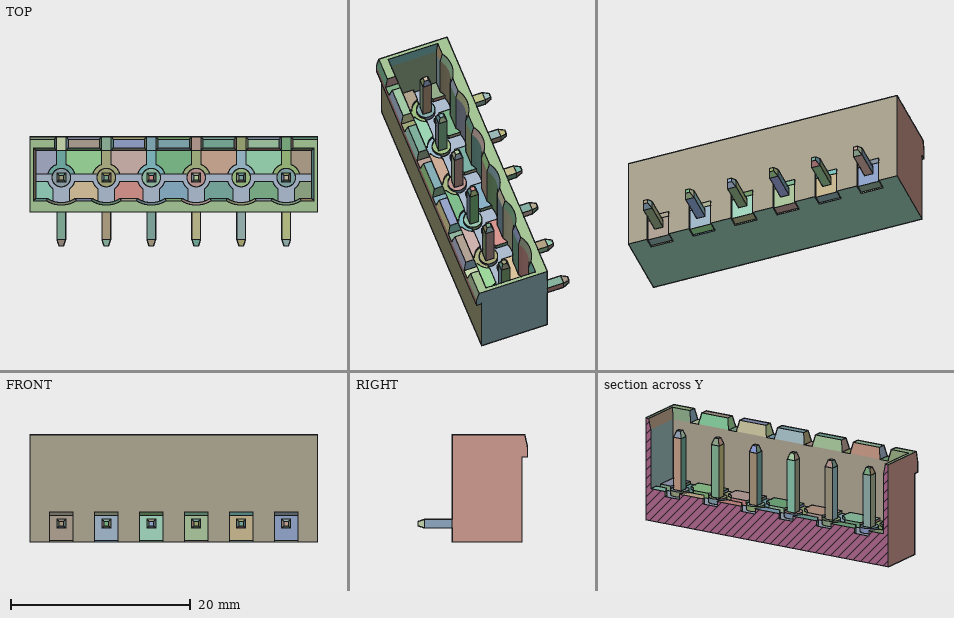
import cadquery as cq
import math


length = 32.0
depth = 7.8
height = 11.94

pole_count = 6
pitch = 5.0
pin_x = [(i - (pole_count - 1) / 2) * pitch for i in range(pole_count)]
pin_y = 3.84
pin_width = 1.0
pin_end_width = 0.5
pin_taper = 0.75
pin_top_z = 10.65
tail_z = 2.05
tail_reach = 3.79

lead_in_depth = 1.3
lead_in_width = 0.28
cavity_end_wall = 0.69
cavity_half_length = length / 2 - cavity_end_wall
cavity_front_y = 1.54
cavity_back_y = 6.87
floor_z = 3.8
scallop_radius = 2.78

rail_reach = 0.6
rail_bottom_z = height - 2.5
rail_slope = 0.3
notch_floor_width = 1.03
notch_top_width = 1.55

ring_outer_radius = 1.55
ring_inner_radius = 1.03
back_recess_depth = 0.3
front_recess_depth = 0.6
back_slot_width = notch_floor_width
front_slot_width = 1.84
cross_channel_front_y = 3.38
cross_channel_back_y = 4.25

pocket_width = 2.6
pocket_height = 3.32
pocket_depth = 0.35
relief_height = 0.2
relief_depth = 1.35


def box(x0, x1, y0, y1, z0, z1):
    """Box between two opposite corners."""
    return cq.Workplane("XY").box(x1 - x0, y1 - y0, z1 - z0, centered=False).translate((x0, y0, z0))


def profile_along_x(points, x0, x1):
    """Prism with a (y, z) outline, running from x0 to x1."""
    return cq.Workplane("YZ", origin=(x0, 0, 0)).polyline(points).close().extrude(x1 - x0)


def cylinder(x, radius, z0, z1):
    """Upright cylinder on the axis of the pin at x."""
    return cq.Workplane("XY", origin=(x, pin_y, z0)).circle(radius).extrude(z1 - z0)


def make_shell():
    """Solid block with the latching rail along its back edge."""
    rail_y = depth + rail_reach
    outline = [
        (0, 0),
        (0, height),
        (rail_y - rail_slope, height),
        (rail_y, height - lead_in_depth),
        (rail_y, rail_bottom_z),
        (depth, rail_bottom_z),
        (depth, 0),
    ]
    return profile_along_x(outline, -length / 2, length / 2)


def make_cavity():
    """Plug cavity: straight walls, a scallop in front of every pin, and a sloped lead-in all round."""
    slope_z = height - lead_in_depth
    taper = math.degrees(math.atan2(lead_in_width, lead_in_depth))
    cavity = box(-cavity_half_length, cavity_half_length, cavity_front_y, cavity_back_y, floor_z, height)
    cavity_width = cavity_back_y - cavity_front_y
    lead_in = (
        cq.Workplane("XY", origin=(0, (cavity_front_y + cavity_back_y) / 2, slope_z))
        .rect(2 * cavity_half_length, cavity_width)
        .workplane(offset=lead_in_depth)
        .rect(2 * (cavity_half_length + lead_in_width), cavity_width + 2 * lead_in_width)
        .loft(ruled=True)
    )
    cavity = cavity.union(lead_in)
    for x in pin_x:
        cavity = cavity.union(cylinder(x, scallop_radius, floor_z, slope_z))
        cone = (
            cq.Workplane("XY", origin=(x, pin_y, slope_z))
            .circle(scallop_radius)
            .extrude(lead_in_depth, taper=-taper)
        )
        cavity = cavity.union(cone)
    return cavity


def make_notch(x):
    """Trapezoidal notch through the back wall and the rail, level with the foot of the lead-in."""
    outline = [
        (x - notch_floor_width / 2, height - lead_in_depth),
        (x + notch_floor_width / 2, height - lead_in_depth),
        (x + notch_top_width / 2, height),
        (x - notch_top_width / 2, height),
    ]
    run = depth + rail_reach - pin_y
    return cq.Workplane("XZ", origin=(0, pin_y, 0)).polyline(outline).close().extrude(-run)


def make_back_recess(x):
    """Shallow floor recess: slot from the back wall into the ring around the pin."""
    bottom_z = floor_z - back_recess_depth
    slot = box(x - back_slot_width / 2, x + back_slot_width / 2, pin_y, cavity_back_y, bottom_z, floor_z)
    recess = slot.union(cylinder(x, ring_outer_radius, bottom_z, floor_z))
    return recess.cut(cylinder(x, ring_inner_radius, bottom_z, floor_z))


def make_front_recess(x):
    """Deeper floor recess: slot from the scallop into the front part of the ring around the pin."""
    bottom_z = floor_z - front_recess_depth
    front_y = pin_y - scallop_radius
    half_width = front_slot_width / 2
    slot = box(x - half_width, x + half_width, front_y, pin_y, bottom_z, floor_z)
    slot = slot.intersect(cylinder(x, scallop_radius, bottom_z, floor_z))
    ring = cylinder(x, ring_outer_radius, bottom_z, floor_z).intersect(
        box(x - pitch, x + pitch, 0, cross_channel_back_y, bottom_z, floor_z)
    )
    return slot.union(ring).cut(cylinder(x, ring_inner_radius, bottom_z, floor_z))


def make_cross_channel():
    """Channel in the cavity floor joining all pins; the bosses around the pins stand clear of it."""
    bottom_z = floor_z - front_recess_depth
    channel = box(
        -cavity_half_length,
        cavity_half_length,
        cross_channel_front_y,
        cross_channel_back_y,
        bottom_z,
        floor_z,
    )
    for x in pin_x:
        channel = channel.cut(cylinder(x, ring_inner_radius, bottom_z, floor_z))
    return channel


def make_tail_pocket(x):
    """Front pocket with a 45 degree roof and a low relief going deeper along the underside."""
    outline = [
        (0, 0),
        (0, pocket_height),
        (pocket_depth, pocket_height - pocket_depth),
        (pocket_depth, relief_height),
        (relief_depth, relief_height),
        (relief_depth, 0),
    ]
    return profile_along_x(outline, x - pocket_width / 2, x + pocket_width / 2)


def make_square_bar(bar_length):
    """Square bar rising from the origin along Z, with a tapered tip."""
    shank_length = bar_length - pin_taper
    shank = cq.Workplane("XY").rect(pin_width, pin_width).extrude(shank_length)
    tip = (
        cq.Workplane("XY", origin=(0, 0, shank_length))
        .rect(pin_width, pin_width)
        .workplane(offset=pin_taper)
        .rect(pin_end_width, pin_end_width)
        .loft(ruled=True)
    )
    return shank.union(tip)


def make_pin(x):
    """Right-angle pin: upright contact and a solder tail leaving through the front face."""
    contact = make_square_bar(pin_top_z - tail_z).translate((x, pin_y, tail_z))
    tail = make_square_bar(pin_y + tail_reach).rotate((0, 0, 0), (1, 0, 0), 90)
    return contact.union(tail.translate((x, pin_y, tail_z)))


result = make_shell().cut(make_cavity()).cut(make_cross_channel())
for x in pin_x:
    result = result.cut(make_notch(x))
    result = result.cut(make_back_recess(x))
    result = result.cut(make_front_recess(x))
    result = result.cut(make_tail_pocket(x))
for x in pin_x:
    result = result.union(make_pin(x))